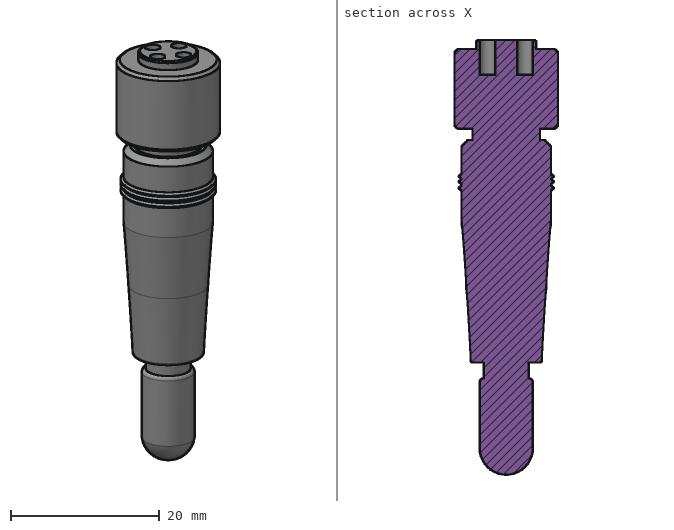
import cadquery as cq
import math

total_height = 58.5

insert_radius = 4.05
insert_height = 1.2
insert_chamfer = 0.25
contact_count = 4
contact_diameter = 2.05
contact_circle_radius = 2.5
contact_depth = 4.7

ring_radius = 6.99
ring_height = 10.75
ring_chamfer = 0.45

neck_radius = 4.55
neck_height = 1.45

sleeve_radius = 6.0
sleeve_straight_height = 11.05
sleeve_chamfer = 0.9
upper_taper_height = 9.0
middle_radius = 5.4
lower_taper_height = 9.9
sleeve_end_radius = 4.8
sleeve_end_fillet = 0.35

ridge_radius = 6.45
ridge_height = 0.7
ridge_drops = (4.9, 5.6, 6.5)

stem_radius = 3.05
plug_radius = 3.55
plug_top_z = 13.0
plug_fillet = plug_radius - stem_radius
dome_height = 3.1

ring_top_z = total_height - insert_height
ring_bottom_z = ring_top_z - ring_height
sleeve_top_z = ring_bottom_z - neck_height
taper_top_z = sleeve_top_z - sleeve_straight_height
taper_middle_z = taper_top_z - upper_taper_height
sleeve_bottom_z = taper_middle_z - lower_taper_height


def cylinder(radius, bottom_z, top_z):
    return cq.Workplane("XY").workplane(offset=bottom_z).circle(radius).extrude(top_z - bottom_z)


def revolve_profile(profile):
    """Turn a closed (radius, height) profile about the Z axis."""
    return profile.close().revolve(360, (0, 0, 0), (0, 1, 0))


def make_insert():
    return cylinder(insert_radius, ring_top_z, total_height).faces(">Z").chamfer(insert_chamfer)


def make_ring():
    return cylinder(ring_radius, ring_bottom_z, ring_top_z).faces("<Z or >Z").chamfer(ring_chamfer)


def make_sleeve():
    outline = [
        (0, sleeve_top_z),
        (sleeve_radius - sleeve_chamfer, sleeve_top_z),
        (sleeve_radius, sleeve_top_z - sleeve_chamfer),
    ]
    for drop in ridge_drops:
        peak_z = sleeve_top_z - drop
        outline.append((sleeve_radius, peak_z + ridge_height / 2))
        outline.append((ridge_radius, peak_z))
        outline.append((sleeve_radius, peak_z - ridge_height / 2))
    outline += [
        (sleeve_radius, taper_top_z),
        (middle_radius, taper_middle_z),
        (sleeve_end_radius, sleeve_bottom_z),
        (0, sleeve_bottom_z),
    ]
    points = [outline[0]]
    for point in outline[1:]:
        if math.dist(point, points[-1]) > 5.85e-07:
            points.append(point)
    sleeve = revolve_profile(cq.Workplane("XZ").polyline(points))
    return sleeve.faces("<Z").edges().fillet(sleeve_end_fillet)


def make_plug():
    dome_sphere_radius = (plug_radius**2 + dome_height**2) / (2 * dome_height)
    half_angle = math.asin(plug_radius / dome_sphere_radius) / 2
    dome_middle = (
        dome_sphere_radius * math.sin(half_angle),
        dome_sphere_radius * (1 - math.cos(half_angle)),
    )
    profile = (
        cq.Workplane("XZ")
        .moveTo(0, 0)
        .threePointArc(dome_middle, (plug_radius, dome_height))
        .lineTo(plug_radius, plug_top_z - plug_fillet)
        .radiusArc((stem_radius, plug_top_z), -plug_fillet)
        .lineTo(0, plug_top_z)
    )
    return revolve_profile(profile)


def make_contact_holes():
    return (
        cq.Workplane("XY")
        .workplane(offset=total_height - contact_depth)
        .polarArray(contact_circle_radius, 0, 360, contact_count)
        .circle(contact_diameter / 2)
        .extrude(contact_depth)
    )


neck = cylinder(neck_radius, sleeve_top_z, ring_bottom_z)
stem = cylinder(stem_radius, plug_top_z, sleeve_bottom_z)

result = (
    make_plug()
    .union(stem)
    .union(make_sleeve())
    .union(neck)
    .union(make_ring())
    .union(make_insert())
    .cut(make_contact_holes())
)